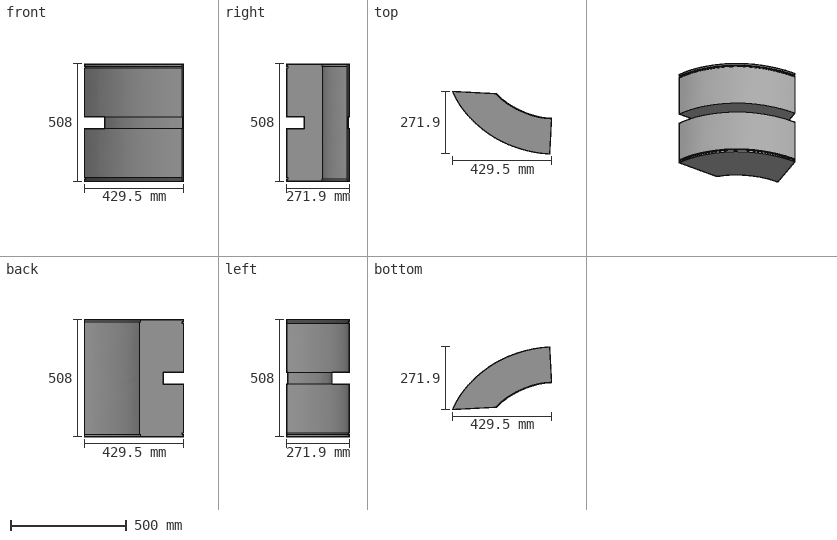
import cadquery as cq
import math

height = 508.0
band_width = 155.5
front_radius = 527.0
side_radius = 439.0
joint_angle = 31.0
end_face_rise = 249.5
tilt = 3.0

lid_thickness = 10.0
lid_setback = 2.5
groove_height = 6.5
groove_depth = 5.0
slot_height = 51.5
slot_depth = 75.5

body_height = (height - slot_height) / 2 - lid_thickness - groove_height

front_center = (0.0, front_radius)


def along(center, radius, angle):
    """Point on a circle, with the angle turned from -Y toward -X."""
    turn = math.radians(angle)
    return (center[0] - radius * math.sin(turn), center[1] - radius * math.cos(turn))


side_center = along(front_center, front_radius - side_radius, joint_angle)


def curve(inset):
    """Points and end directions of the smooth curve through both bends at an inset."""
    front = front_radius - inset
    side = side_radius - inset
    end_angle = math.degrees(math.acos((side_center[1] - end_face_rise) / side))
    points = [
        along(front_center, front, 0),
        along(front_center, front, joint_angle / 2),
        along(front_center, front, joint_angle),
        along(side_center, side, (joint_angle + end_angle) / 2),
        along(side_center, side, end_angle),
    ]
    end_turn = math.radians(end_angle)
    directions = [(-1, 0), (-math.cos(end_turn), math.sin(end_turn))]
    return points, directions


def layer(bottom, thickness, inset, setback):
    """One level of the band, its outer and inner faces set back separately."""
    outer, outer_directions = curve(inset)
    inner, inner_directions = curve(band_width - setback)
    inner_reversed = [(-x, -y) for x, y in reversed(inner_directions)]
    return (
        cq.Workplane("XY", origin=(0, 0, bottom))
        .moveTo(*outer[0])
        .spline(outer[1:], tangents=outer_directions, includeCurrent=True)
        .lineTo(*inner[-1])
        .spline(inner[-2::-1], tangents=inner_reversed, includeCurrent=True)
        .close()
        .extrude(thickness)
    )


lower_levels = [
    (lid_thickness, 0.0, lid_setback),
    (groove_height, groove_depth, 0.0),
    (body_height, 0.0, 0.0),
]
levels = lower_levels + [(slot_height, slot_depth, 0.0)] + lower_levels[::-1]

part = cq.Workplane("XY")
level_bottom = 0.0
for thickness, inset, setback in levels:
    part = part.add(layer(level_bottom, thickness, inset, setback))
    level_bottom += thickness

result = part.combine().rotate((0, 0, 0), (0, 0, 1), -tilt)